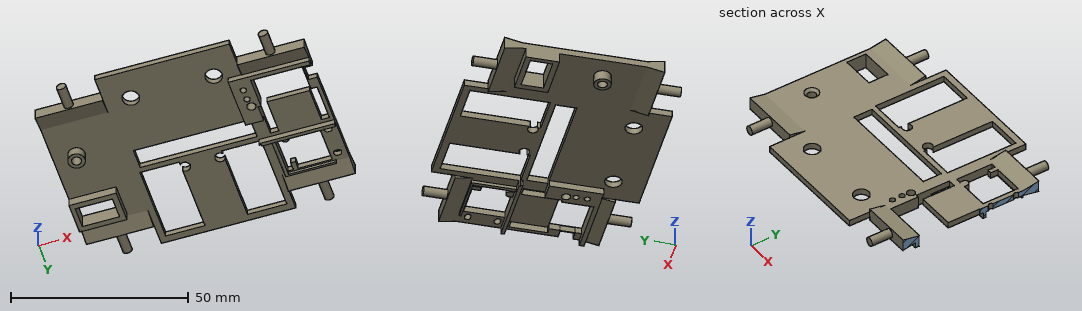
import cadquery as cq

length = 80.0
panel_width = 40.0
panel_depth = 60.4
wing_depth = 46.6
plate_thickness = 2.0
plate_top = plate_thickness / 2
plate_bottom = -plate_thickness / 2
panel_edge = panel_width / 2
part_edge = length / 2
wing_edge = wing_depth / 2

flare_length = 5.2
flare_height = 4.0
pin_diameter = 2.8
pin_x = (part_edge + panel_edge) / 2

deep_level = -4.0
middle_level = plate_bottom - plate_thickness
shallow_level = -2.0

cut_bottom = -8.0
cut_top = 8.0

socket_window = (-38.6, -27.6, 9.0, 15.5)
socket_block = (-part_edge, -25.9, 7.4, 17.1)
boss_x = -33.0
boss_y = -6.8
boss_diameter = 5.0
screw_diameter = 2.8
countersink_diameter = 4.5

bay_inner = 6.3
bay_outer = 18.0
bay_bottom = 4.7
bay_top = 28.1
notch_diameter = 3.0
notch_x = 5.2
notch_y = 6.7
slot_half_width = 17.4
slot_bottom = -3.1
slot_top = 3.0
mount_hole_diameter = 5.0
mount_hole_x = 12.3
mount_hole_y = -20.9

window_left = 21.9
window_right = 35.0
window_front = 5.2
window_back = 17.2
key_left = 23.5
key_width = 1.4
key_end = 14.7
stop_left = key_left
stop_width = 2.2
stop_end = 7.4
oblong_length = 2.3
oblong_width = 1.8
oblong_x = 37.3
oblong_rows = (6.8, 15.4)

tongue_left = 23.8
tongue_right = 36.5
tongue_end = -7.7
opening_left = 21.4
opening_right = 38.9
opening_step = -8.2
lower_left = 22.2
lower_right = 37.0
lower_end = -17.6
thin_wall = 0.3
side_notch_bottom = -15.8
side_notch_top = -11.4

wire_hole_diameter = 2.6
wire_hole_x = 19.6
wire_hole_y = -8.9
pilot_diameter = 1.8
pilot_x = 19.2
pilot_rows = (-11.7, -15.0)

pad_left = 16.0
pad_bottom = -19.0
rib_left = 17.5
rib_bottom = 4.2
frame_wall = 1.0
lip_width = 0.5


def block(left, right, front, back, bottom, top):
    """Rectangular block given by its limits along X, Y and Z."""
    corner = cq.Vector(left, front, bottom)
    return cq.Workplane("XY").add(cq.Solid.makeBox(right - left, back - front, top - bottom, corner))


def support(left, right, front, back, bottom):
    """Block hanging from the middle of the plate down to a given level."""
    return block(left, right, front, back, bottom, 0)


def rod(x, y, diameter, bottom, top):
    """Vertical cylinder."""
    return cq.Workplane("XY").workplane(offset=bottom).center(x, y).circle(diameter / 2).extrude(top - bottom)


def opening(left, right, front, back):
    """Rectangular cutter that passes through every layer."""
    return block(left, right, front, back, cut_bottom, cut_top)


def hole(x, y, diameter):
    """Round cutter that passes through every layer."""
    return rod(x, y, diameter, cut_bottom, cut_top)


def wings():
    """Both wings in one profile, flared towards the front and back ends."""
    flare_start = wing_edge - flare_length
    half_flare = flare_height / 2
    return (
        cq.Workplane("YZ")
        .workplane(offset=-part_edge)
        .moveTo(-wing_edge, half_flare)
        .lineTo(-flare_start, plate_top)
        .lineTo(flare_start, plate_top)
        .lineTo(wing_edge, half_flare)
        .lineTo(wing_edge, -half_flare)
        .lineTo(flare_start, plate_bottom)
        .lineTo(-flare_start, plate_bottom)
        .lineTo(-wing_edge, -half_flare)
        .close()
        .extrude(length)
    )


def plate():
    """Wings joined by the flat central panel."""
    channel = block(-panel_edge, panel_edge, -wing_edge, wing_edge, cut_bottom, cut_top)
    panel = block(-panel_edge, panel_edge, -panel_depth / 2, panel_depth / 2, plate_bottom, plate_top)
    return wings().cut(channel).union(panel)


def pins():
    """Four pins, one standing out of each end of each wing."""
    shafts = (
        cq.Workplane("XZ")
        .workplane(offset=-panel_depth / 2)
        .pushPoints([(-pin_x, 0), (pin_x, 0)])
        .circle(pin_diameter / 2)
        .extrude(panel_depth)
    )
    between_ends = block(-part_edge, part_edge, -wing_edge, wing_edge, cut_bottom, cut_top)
    return shafts.cut(between_ends)


def stop():
    """Round-nosed stop at the front edge of the square window."""
    nose_y = stop_end - stop_width / 2
    x = stop_left + stop_width / 2
    base = block(stop_left, stop_left + stop_width, window_front, nose_y, plate_bottom, plate_top)
    return base.union(rod(x, nose_y, stop_width, plate_bottom, plate_top))


def countersink():
    """Cone that widens the screw hole at the top face."""
    depth = (countersink_diameter - screw_diameter) / 2
    cone = cq.Solid.makeCone(
        screw_diameter / 2, countersink_diameter / 2, depth, cq.Vector(boss_x, boss_y, plate_top - depth)
    )
    return cq.Workplane("XY").add(cone)


def left_supports():
    """Socket block and screw boss under the left wing."""
    socket = support(*socket_block, deep_level)
    return socket.union(rod(boss_x, boss_y, boss_diameter, deep_level, 0))


def right_supports():
    """L-shaped pad, rib and shallow window frame under the right wing."""
    frame_left = window_left - frame_wall
    frame_right = window_right + frame_wall
    frame_back = window_back + frame_wall
    return (
        support(pad_left, lower_left, pad_bottom, slot_bottom, middle_level)
        .union(support(pad_left, part_edge, pad_bottom, lower_end, middle_level))
        .union(support(rib_left, part_edge, rib_bottom, window_front, middle_level))
        .union(support(frame_left, window_left, window_front, frame_back, shallow_level))
        .union(support(frame_left, frame_right, window_back + lip_width, frame_back, shallow_level))
    )


body = plate().union(pins()).union(left_supports()).union(right_supports())

body = body.cut(opening(*socket_window))
body = body.cut(hole(boss_x, boss_y, screw_diameter)).cut(countersink())

for side in (-1, 1):
    bay_limits = sorted((side * bay_inner, side * bay_outer))
    body = body.cut(opening(*bay_limits, bay_bottom, bay_top))
    body = body.cut(hole(side * notch_x, notch_y, notch_diameter))
    body = body.cut(hole(side * mount_hole_x, mount_hole_y, mount_hole_diameter))
body = body.cut(opening(-slot_half_width, slot_half_width, slot_bottom, slot_top))

body = body.cut(opening(window_left, window_right, window_front, window_back))
body = body.union(block(key_left, key_left + key_width, key_end, window_back, plate_bottom, plate_top))
body = body.union(stop())
for y in oblong_rows:
    oblong = cq.Workplane("XY").center(oblong_x, y).slot2D(oblong_length, oblong_width)
    body = body.cut(oblong.extrude(cut_top, both=True))

body = body.cut(opening(opening_left, tongue_left, opening_step, slot_top))
body = body.cut(opening(tongue_right, opening_right, opening_step, slot_top))
body = body.cut(opening(tongue_left, tongue_right, opening_step, tongue_end))
body = body.cut(opening(lower_left, lower_right, lower_end, opening_step))
body = body.cut(opening(lower_right + thin_wall, part_edge, side_notch_bottom, side_notch_top))

body = body.cut(hole(wire_hole_x, wire_hole_y, wire_hole_diameter))
for y in pilot_rows:
    body = body.cut(hole(pilot_x, y, pilot_diameter))

result = body